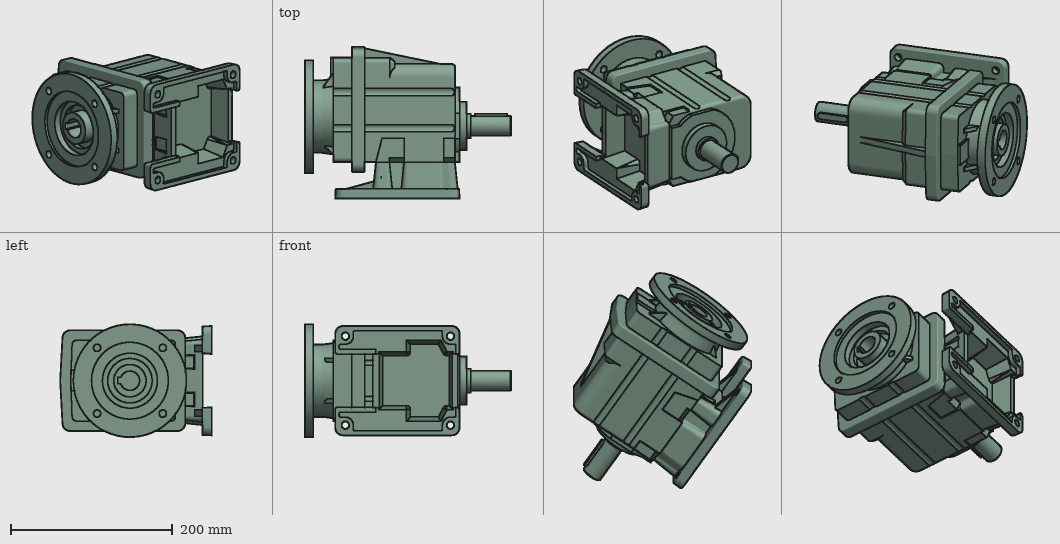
import cadquery as cq
import math


flange_d = 140.0
flange_thick = 10.5
neck_d = 90.0
neck_end = 21.2
cone_end_d = 93.8
register_d = 95.0
register_depth = 4.0
bore_d = 68.0
bore_end = 13.5
seal_d = 55.0
seal_end = 20.5
hub_d = 40.0
hub_face = 4.0
input_bore_d = 24.0
input_bore_end = 51.0
key_width = 8.0
input_key_top = 15.3
bolt_circle_d = 115.0
bolt_hole_d = 9.0

block_start = 35.2
plate_start = 58.1
plate_end = 73.7
body_end = 186.0
block_half_z = 50.0
block_bottom = -56.4
block_side = 71.5
block_ridge = 73.2
block_corner = 5.5
plate_half_z = 62.5
plate_bottom = -68.5
plate_side = 83.1
plate_ridge = 86.5
plate_corner = 10.0
plate_edge = 1.3
wide_body_end = 105.0
wide_body_taper_length = 6.0
wide_body_taper = 40.0
body_side = 65.3
body_corner = 16.5
body_end_fillet = 4.5

groove_width = 9.0
groove_depth = 1.5
groove_places = (30.3, -14.3)
groove_end = 188.7
bottom_groove_width = 6.5
bottom_groove_z = 22.2
bottom_groove_end = 86.7
name_pocket_depth = 2.0
pocket_top = -26.8
pocket_slope_top = -51.0
name_pocket_start = 95.4
name_pocket_end = 122.7
end_pocket_start = 171.9
gusset_z = 25.2
gusset_thick = 5.4
gusset_root = 30.5
lower_gusset_tip = 24.2
lower_gusset_tip_y = -37.2
lower_gusset_base_y = -47.2
upper_gusset_tip = 22.5
upper_gusset_tip_y = 36.5
upper_gusset_base = 34.2
upper_gusset_base_y = 53.0
pad_start = 32.0
pad_half_z = 12.8
pad_bottom = 43.4
rib_thick = 7.6
rib_peak = 84.7
rib_end = 167.5

shaft_y = -11.5
boss_d = 95.0
boss_flat_z = 45.0
boss_end = 191.5
ledge_half_z = 35.0
ledge_top = -43.5
ring_d = 60.0
ring_end = 200.0
collar_d = 30.0
collar_end = 205.3
shaft_d = 25.0
shaft_end = 255.0
shaft_chamfer = 0.8
key_start = 209.9
key_end = 250.2
key_height = 15.0

foot_start = 37.2
foot_end = 191.5
foot_half_z = 67.8
foot_bottom = -101.5
foot_top = -89.5
foot_draft = 3.0
foot_gap_half_z = 33.0
foot_corner = 10.2
rail_corner = 3.3
rail_edge_fillet = 1.0
foot_hole_d = 9.0
foot_hole_x = (50.0, 180.0)
foot_hole_z = 55.0
lobe_radius = 10.0
recess_floor = -95.4
recess_start = 42.0
recess_end = 186.7
recess_half_z = 62.0
recess_tip_radius = 2.8
recess_corner = 2.0
rim_half_z = 38.8
web_start = 87.7
waist_start = 104.5
waist_half_z = 39.8
web_bottom = -90.3
web_draft = 6.0
web_fillet = 3.8
web_wide_end = 168.3
web_bevel_end = 178.0
web_end = 185.6
column_half_z = 47.7
wide_web_half_z = 51.5
cavity_floor = -64.5
cavity_draft = 9.4
cavity_narrow_z = 36.0
cavity_wide_z = 50.0
cavity_start = 91.0
cavity_step = 125.5
cavity_bevel_end = 175.7
cavity_end = 183.3
window_near = 14.0
window_far = 32.5
window_bottom = -80.8
window_end = 89.2
window_draft = 17.0
foot_gusset_start = 50.5
foot_gusset_end = 86.7
foot_gusset_top = -79.5
foot_gusset_near = 36.0
foot_gusset_far = 43.9


def rod(diameter, start, end, y=0):
    return cq.Workplane("YZ", origin=(start, y, 0)).circle(diameter / 2).extrude(end - start)


def block(x0, x1, y0, y1, z0, z1):
    return cq.Workplane("XY").box(x1 - x0, y1 - y0, z1 - z0, centered=False).translate((x0, y0, z0))


def drafted(face, height, draft):
    """Extrude the outline of a face with drafted sides."""
    return face.wires().toPending().extrude(height, combine=False, taper=draft)


def both_sides(shape):
    return shape.union(shape.mirror("XY"))


def pitched_prism(start, end, bottom, side, ridge, half_z, corner):
    """Prism along X whose +Y face rises to a ridge on the symmetry plane."""
    outline = [(bottom, -half_z), (side, -half_z), (ridge, 0), (side, half_z), (bottom, half_z)]
    prism = cq.Workplane("YZ", origin=(start, 0, 0)).polyline(outline).close().extrude(end - start)
    return prism.edges("|X").edges(">Z or <Z").fillet(corner)


def groove_cutter(width, start, end):
    """Round bar along X that cuts a groove of the given width into a face at Z = 0."""
    radius = (width**2 / 4 + groove_depth**2) / (2 * groove_depth)
    return rod(2 * radius, start, end).translate((0, 0, radius - groove_depth))


def plate_along_z(points, z0, z1):
    """Flat plate with an outline in X and Y, between two Z heights."""
    return cq.Workplane("XY", origin=(0, 0, z0)).polyline(points).close().extrude(z1 - z0)


def make_input_flange():
    profile = [
        (0, 0),
        (0, flange_d / 2),
        (flange_thick, flange_d / 2),
        (flange_thick, neck_d / 2),
        (neck_end, neck_d / 2),
        (block_start, cone_end_d / 2),
        (block_start, 0),
    ]
    return cq.Workplane("XY").polyline(profile).close().revolve(360, (0, 0, 0), (1, 0, 0))


def cut_input_bores(part):
    part = part.cut(rod(register_d, 0, register_depth))
    part = part.cut(rod(bore_d, 0, bore_end)).cut(rod(seal_d, 0, seal_end))
    part = part.union(rod(hub_d, hub_face, seal_end))
    part = part.cut(rod(input_bore_d, 0, input_bore_end))
    part = part.cut(block(0, input_bore_end, 0, input_key_top, -key_width / 2, key_width / 2))
    side = bolt_circle_d / math.sqrt(2)
    holes = cq.Workplane("YZ").rect(side, side, forConstruction=True).vertices()
    return part.cut(holes.circle(bolt_hole_d / 2).extrude(flange_thick))


def make_housing():
    front = pitched_prism(
        block_start, wide_body_end, block_bottom, block_side, block_ridge, block_half_z, block_corner
    )
    front = front.union(drafted(front.faces(">X"), wide_body_taper_length, wide_body_taper))
    plate = pitched_prism(
        plate_start, plate_end, plate_bottom, plate_side, plate_ridge, plate_half_z, plate_corner
    )
    plate = plate.faces("<X or >X").edges().fillet(plate_edge)
    body = block(plate_end, body_end, block_bottom, body_side, -block_half_z, block_half_z)
    body = body.edges("|X and >Y").fillet(body_corner)
    body = body.faces(">X").edges("not <Y").fillet(body_end_fillet)
    return front.union(body).union(plate)


def cut_grooves(part):
    for y in groove_places:
        cutter = groove_cutter(groove_width, block_start, plate_start).union(
            groove_cutter(groove_width, plate_end, groove_end)
        )
        part = part.cut(both_sides(cutter.translate((0, y, block_half_z))))
    bottom = groove_cutter(bottom_groove_width, plate_end, bottom_groove_end)
    bottom = bottom.rotate((0, 0, 0), (1, 0, 0), 90).translate((0, block_bottom, bottom_groove_z))
    return part.cut(both_sides(bottom))


def cut_side_pockets(part):
    """Shallow pockets whose lower edge slopes in towards the foot."""
    floor = block_half_z - name_pocket_depth
    name_outline = [
        (name_pocket_start, pocket_top),
        (name_pocket_end, pocket_top),
        (name_pocket_end, block_bottom),
        (web_start, block_bottom),
    ]
    part = part.cut(both_sides(plate_along_z(name_outline, floor, block_half_z)))
    end_pocket = block(end_pocket_start, body_end, block_bottom, pocket_top, floor, block_half_z)
    part = part.cut(both_sides(end_pocket))
    slope = [(pocket_slope_top, floor), (block_bottom, floor), (block_bottom, waist_half_z)]
    for start, end in ((waist_start, name_pocket_end), (end_pocket_start, body_end)):
        wedge = cq.Workplane("YZ", origin=(start, 0, 0)).polyline(slope).close().extrude(end - start)
        part = part.cut(both_sides(wedge))
    return part


def make_housing_ribs():
    lower = [
        (lower_gusset_tip, lower_gusset_tip_y),
        (block_start, lower_gusset_base_y),
        (block_start, -gusset_root),
        (lower_gusset_tip, -gusset_root),
    ]
    upper = [
        (upper_gusset_tip, upper_gusset_tip_y),
        (upper_gusset_base, upper_gusset_base_y),
        (block_start, upper_gusset_base_y),
        (block_start, gusset_root),
        (upper_gusset_tip, gusset_root),
    ]
    near_z = gusset_z - gusset_thick / 2
    far_z = gusset_z + gusset_thick / 2
    gussets = plate_along_z(lower, near_z, far_z).union(plate_along_z(upper, near_z, far_z))
    pad = block(pad_start, block_start, pad_bottom, block_ridge, -pad_half_z, pad_half_z)
    rib_outline = [(plate_end, rib_peak), (rib_end, body_side), (plate_end, body_side)]
    rib = plate_along_z(rib_outline, -rib_thick / 2, rib_thick / 2)
    return both_sides(gussets).union(pad).union(rib)


def make_output_side():
    boss = rod(boss_d, body_end, boss_end, shaft_y)
    boss = boss.intersect(block(body_end, boss_end, block_bottom, foot_half_z, -boss_flat_z, boss_flat_z))
    boss = boss.union(block(body_end, boss_end, block_bottom, ledge_top, -ledge_half_z, ledge_half_z))
    ring = rod(ring_d, boss_end, ring_end, shaft_y)
    collar = rod(collar_d, ring_end, collar_end, shaft_y)
    shaft = rod(shaft_d, collar_end, shaft_end, shaft_y).faces(">X").chamfer(shaft_chamfer)
    key = (
        cq.Workplane("XZ", origin=((key_start + key_end) / 2, shaft_y, 0))
        .slot2D(key_end - key_start, key_width)
        .extrude(-key_height)
    )
    return boss.union(ring).union(collar).union(shaft).union(key)


def make_rails():
    length = foot_end - foot_start
    width = foot_half_z - foot_gap_half_z
    centre = ((foot_start + foot_end) / 2, foot_bottom, (foot_half_z + foot_gap_half_z) / 2)
    rails = cq.Workplane("ZX", origin=centre).rect(width, length).extrude(foot_top - foot_bottom)
    rails = rails.edges("|Y and >Z").fillet(foot_corner)
    rails = rails.edges("|Y and <Z").fillet(rail_corner)
    rails = drafted(rails.faces("<Y"), foot_top - foot_bottom, foot_draft)
    rails = rails.faces(">Y").edges().fillet(rail_edge_fillet)
    return both_sides(rails)


def make_web():
    """Drafted walls that join the housing to the foot rails."""
    half = [
        (web_start, column_half_z),
        (waist_start, column_half_z),
        (waist_start, waist_half_z),
        (name_pocket_end, waist_half_z),
        (name_pocket_end, wide_web_half_z),
        (web_wide_end, wide_web_half_z),
        (web_bevel_end, waist_half_z),
        (web_end, waist_half_z),
    ]
    outline = half + [(x, -z) for x, z in reversed(half)]
    height = block_bottom - web_bottom
    web = cq.Workplane("XZ", origin=(0, block_bottom, 0)).polyline(outline).close()
    web = web.extrude(height).edges("|Y").fillet(web_fillet)
    return drafted(web.faces(">Y"), height, -web_draft)


def make_foot_gussets():
    outline = [(foot_gusset_start, foot_top), (foot_gusset_end, foot_top), (foot_gusset_end, foot_gusset_top)]
    return both_sides(plate_along_z(outline, foot_gusset_near, foot_gusset_far))


def make_rail_recess():
    """Shallow recess under one rail, leaving an outer lip and a land around each screw hole."""
    recess = block(recess_start, recess_end, foot_bottom, recess_floor, foot_gap_half_z, recess_half_z)
    rim = block(recess_start, web_start, foot_bottom, recess_floor, foot_gap_half_z, rim_half_z)
    recess = recess.cut(rim)
    for x, outer_x in zip(foot_hole_x, (foot_start, foot_end)):
        inner_x = x + math.copysign(lobe_radius, x - outer_x)
        land = block(
            min(inner_x, outer_x), max(inner_x, outer_x), foot_bottom, recess_floor,
            foot_hole_z - lobe_radius, foot_half_z,
        )
        inner_edge = cq.selectors.NearestToPointSelector(
            (inner_x, (foot_bottom + recess_floor) / 2, foot_hole_z - lobe_radius)
        )
        recess = recess.cut(land.edges(inner_edge).fillet(lobe_radius))
    recess = recess.edges("|Y and <X").fillet(recess_tip_radius)
    recess = recess.edges("|Y").edges(">X").edges(">Z").fillet(recess_corner)
    return recess.edges("|Y and >Z").fillet(recess_corner)


def make_cavity():
    """Open box between the rails, narrowing towards the housing."""
    half = [
        (cavity_narrow_z, cavity_start),
        (cavity_narrow_z, cavity_step),
        (cavity_wide_z, cavity_step),
        (cavity_wide_z, web_wide_end),
        (cavity_narrow_z, cavity_bevel_end),
        (cavity_narrow_z, cavity_end),
    ]
    outline = half + [(-z, x) for z, x in reversed(half)]
    mouth = cq.Workplane("ZX", origin=(0, recess_floor, 0)).polyline(outline).close()
    return mouth.extrude(cavity_floor - recess_floor, taper=cavity_draft)


def make_foot_cutters():
    cutters = both_sides(make_rail_recess()).union(make_cavity())
    for x in foot_hole_x:
        for z in (-foot_hole_z, foot_hole_z):
            hole = cq.Workplane("XZ", origin=(x, foot_top, z)).circle(foot_hole_d / 2)
            cutters = cutters.union(hole.extrude(foot_top - foot_bottom))
    window_start = web_start - (block_bottom - web_bottom) * math.tan(math.radians(web_draft))
    centre = (window_start, (block_bottom + window_bottom) / 2, (window_near + window_far) / 2)
    window = cq.Workplane("YZ", origin=centre).rect(block_bottom - window_bottom, window_far - window_near)
    window = window.extrude(window_end - window_start, taper=window_draft)
    return cutters.union(both_sides(window))


result = make_input_flange().union(make_housing()).union(make_housing_ribs())
result = cut_input_bores(result)
result = cut_grooves(result)
result = cut_side_pockets(result)
result = result.union(make_output_side())
result = result.union(make_web()).union(make_rails()).union(make_foot_gussets())
result = result.cut(make_foot_cutters())